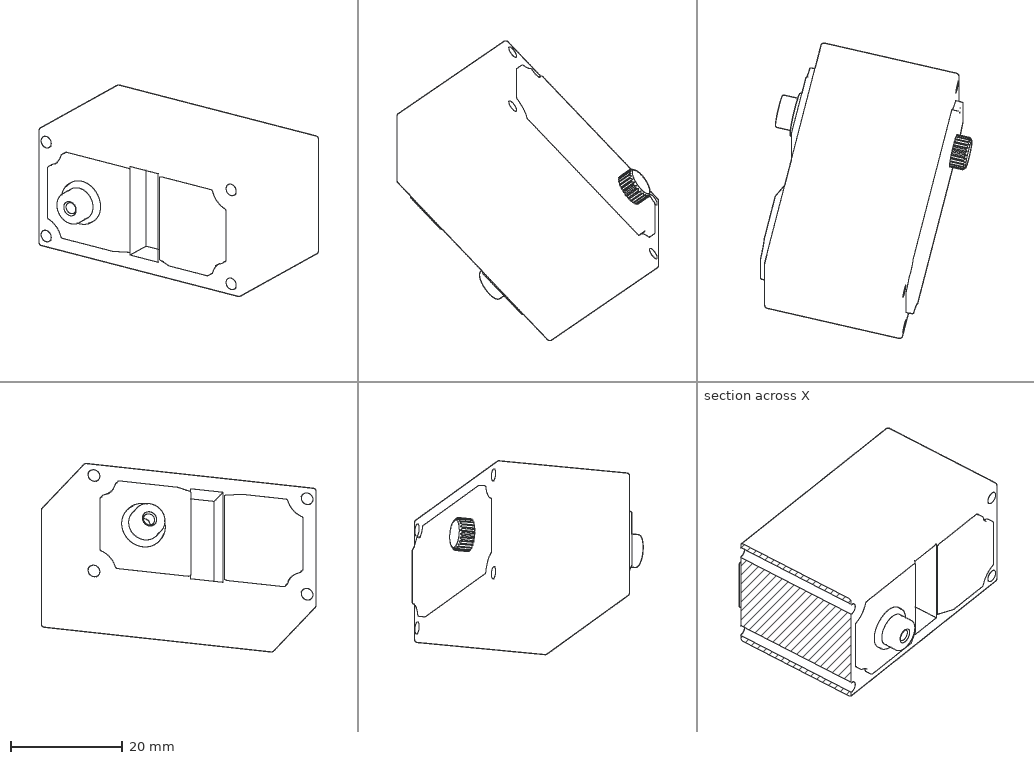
import cadquery as cq
import math

CASE_X = 44.02
CASE_Y = 25.56
CASE_Z = 22.92
CASE_FILLET = 0.6
FRONT_Y = -CASE_Y / 2
REAR_Y = CASE_Y / 2

SCREW_HOLE_DIAMETER = 2.2
SCREW_X = 20.13
SCREW_Z = 9.12

PLATE_X = 38.04
PLATE_Z = 16.34
PLATE_HEIGHT = 1.42
PLATE_ROOT = 1.0
PLATE_EDGE_FILLET = 0.3
FRONT_CORNER_FILLET = 0.4
REAR_CORNER_FILLET = 0.25
SCOOP_RADIUS = 4.22

GROOVE_X = 1.38
GROOVE_TOP_WIDTH = 12.24
GROOVE_BASE_WIDTH = 6.24

POCKET_X = 1.18
POCKET_WIDTH = 6.1
POCKET_LENGTH_Z = 17.2
POCKET_DEPTH = 5.1

NOTCH_X = 15.35
NOTCH_RADIUS = 1.75

SHAFT_X = -11.34
FLANGE_DIAMETER = 8.04
FLANGE_HEIGHT = 0.92
FLANGE_FILLET = 0.3
PIVOT_DIAMETER = 6.0
PIVOT_HEIGHT = 2.95
PIVOT_FILLET = 0.3
PIVOT_HOLE_DIAMETER = 2.1
PIVOT_HOLE_CHAMFER = 0.3
PIVOT_HOLE_DEPTH = 3.0

SPLINE_LENGTH = 2.85
SPLINE_TEETH = 25
SPLINE_TIP_RADIUS = 2.98
SPLINE_ROOT_RADIUS = 2.7
SPLINE_TIP_FRACTION = 0.3
SPLINE_CHAMFER = 0.45


def facing_rear(y):
    """Sketch plane at y whose local x, y and normal run along X, -Z and +Y."""
    return cq.Workplane(cq.Plane((0, y, 0), xDir=(1, 0, 0), normal=(0, 1, 0)))


def facing_front(y):
    """Sketch plane at y whose local x, y and normal run along X, Z and -Y."""
    return cq.Workplane(cq.Plane((0, y, 0), xDir=(1, 0, 0), normal=(0, -1, 0)))


def plate_blank(start_y):
    """Plate with scooped corners, reaching from start_y towards -Y."""
    height = PLATE_HEIGHT + PLATE_ROOT
    corners = facing_front(start_y).rect(2 * SCREW_X, 2 * SCREW_Z, forConstruction=True).vertices()
    scoops = corners.circle(SCOOP_RADIUS).extrude(height)
    return facing_front(start_y).rect(PLATE_X, PLATE_Z).extrude(height).cut(scoops)


def front_plate():
    """Plate split into two halves by the sloped groove."""
    plate = plate_blank(FRONT_Y + PLATE_ROOT).edges("|Y").fillet(FRONT_CORNER_FILLET)
    slope = (GROOVE_TOP_WIDTH - GROOVE_BASE_WIDTH) / 2 / PLATE_HEIGHT
    top_half = GROOVE_TOP_WIDTH / 2
    bottom_half = GROOVE_BASE_WIDTH / 2 - slope * PLATE_ROOT
    top_y = FRONT_Y - PLATE_HEIGHT
    bottom_y = FRONT_Y + PLATE_ROOT
    groove = (
        cq.Workplane("XY")
        .polyline([
            (GROOVE_X - top_half, top_y),
            (GROOVE_X + top_half, top_y),
            (GROOVE_X + bottom_half, bottom_y),
            (GROOVE_X - bottom_half, bottom_y),
        ])
        .close()
        .extrude(PLATE_Z, both=True)
    )
    plate = plate.cut(groove)
    slopes = plate.faces("not(|X or |Y or |Z)").faces("%PLANE")
    rims = plate.faces("<Y").add(slopes).edges("not(>Y)")
    return plate.newObject(rims.vals()).fillet(PLATE_EDGE_FILLET)


def rear_plate():
    """Whole plate with a round notch in its upper edge."""
    plate = plate_blank(REAR_Y + PLATE_HEIGHT)
    notch = (
        facing_front(REAR_Y + PLATE_HEIGHT)
        .center(NOTCH_X, PLATE_Z / 2)
        .circle(NOTCH_RADIUS)
        .extrude(PLATE_HEIGHT + PLATE_ROOT)
    )
    plate = plate.cut(notch)
    plate = plate.edges("|Y").fillet(REAR_CORNER_FILLET)
    return plate.faces(">Y").edges().fillet(PLATE_EDGE_FILLET)


def pivot_boss():
    """Flange and pivot pin with a blind, chamfered centre hole."""
    base_y = FRONT_Y - PLATE_HEIGHT
    end_y = base_y - FLANGE_HEIGHT - PIVOT_HEIGHT
    flange = (
        facing_front(base_y).center(SHAFT_X, 0)
        .circle(FLANGE_DIAMETER / 2).extrude(FLANGE_HEIGHT)
        .faces("<Y").edges().fillet(FLANGE_FILLET)
    )
    pivot = (
        facing_front(base_y).center(SHAFT_X, 0)
        .circle(PIVOT_DIAMETER / 2).extrude(FLANGE_HEIGHT + PIVOT_HEIGHT)
        .faces("<Y").edges().fillet(PIVOT_FILLET)
    )
    hole = (
        facing_front(end_y + PIVOT_HOLE_DEPTH).center(SHAFT_X, 0)
        .circle(PIVOT_HOLE_DIAMETER / 2).extrude(PIVOT_HOLE_DEPTH)
    )
    boss = flange.union(pivot).cut(hole)
    hole_rim = boss.faces("<Y").edges(cq.selectors.RadiusNthSelector(0))
    return hole_rim.chamfer(PIVOT_HOLE_CHAMFER)


def make_case():
    """Block with both plates, the pivot boss, the pocket and the screw holes."""
    case = cq.Workplane("XY").box(CASE_X, CASE_Y, CASE_Z).edges().fillet(CASE_FILLET)
    case = case.union(front_plate()).union(rear_plate()).union(pivot_boss())
    pocket = (
        facing_front(FRONT_Y + POCKET_DEPTH).center(POCKET_X, 0)
        .rect(POCKET_WIDTH, POCKET_LENGTH_Z).extrude(POCKET_DEPTH + PLATE_HEIGHT)
    )
    screw_holes = (
        facing_front(REAR_Y)
        .rect(2 * SCREW_X, 2 * SCREW_Z, forConstruction=True).vertices()
        .circle(SCREW_HOLE_DIAMETER / 2).extrude(CASE_Y)
    )
    return case.cut(pocket).cut(screw_holes)


def spline_outline():
    """Flat-topped teeth with V-shaped gaps, one gap pointing to -X."""
    pitch = 2 * math.pi / SPLINE_TEETH
    tip_half = pitch * SPLINE_TIP_FRACTION / 2
    outline = []
    for tooth in range(SPLINE_TEETH):
        middle = tooth * pitch
        for radius, angle in (
            (SPLINE_ROOT_RADIUS, middle - pitch / 2),
            (SPLINE_TIP_RADIUS, middle - tip_half),
            (SPLINE_TIP_RADIUS, middle + tip_half),
        ):
            outline.append((radius * math.cos(angle), radius * math.sin(angle)))
    return outline


def make_output_shaft():
    """Toothed stub with a chamfered free end, standing on the rear plate."""
    base_y = REAR_Y + PLATE_HEIGHT
    toothed = (
        facing_rear(base_y).center(SHAFT_X, 0)
        .polyline(spline_outline()).close().extrude(SPLINE_LENGTH)
    )
    envelope = (
        facing_rear(base_y).center(SHAFT_X, 0)
        .circle(SPLINE_TIP_RADIUS).extrude(SPLINE_LENGTH)
        .faces(">Y").edges().chamfer(SPLINE_CHAMFER)
    )
    return toothed.intersect(envelope)


case = make_case()
output_shaft = make_output_shaft()
result = cq.Compound.makeCompound([case.solids().val(), output_shaft.solids().val()])